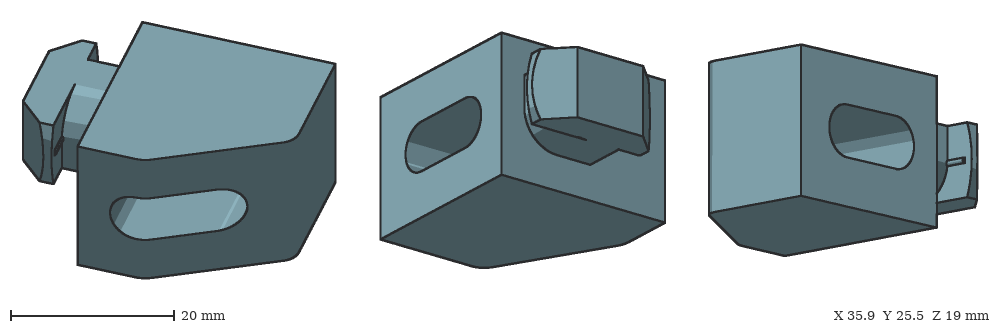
import cadquery as cq
import math


total_length = 35.9
block_side = 25.0
block_height = 19.0
block_left = total_length - block_side
block_back = 8.5
block_front = block_back - block_side

slope_angle = math.radians(30)
slope_start = 8.5
slope_rise = (block_side - slope_start) * math.tan(slope_angle)
front_round = 3.88
side_round = 2.5

slot_length = 15.58
slot_width = 6.65
slot_center_x = block_left + 12.0

head_span = 18.0
head_edge_radius = 15.2
head_thickness = 5.03
bolt_height = 9.4
neck_width = 10.05
neck_round = neck_width / 2

ridge_height = 0.2
ridge_base = 0.72
ridge_span = 15.8


def make_block():
    """Clamp body with one corner cut to a slope and both slope ends rounded."""
    block_right = total_length
    outline = [
        (block_left, block_back),
        (block_left, block_front),
        (block_left + slope_start, block_front),
        (block_right, block_front + slope_rise),
        (block_right, block_back),
    ]
    block = (
        cq.Workplane("XY")
        .workplane(offset=-block_height / 2)
        .polyline(outline)
        .close()
        .extrude(block_height)
    )
    slope_start_point = (block_left + slope_start, block_front, 0)
    slope_end_point = (block_right, block_front + slope_rise, 0)
    block = block.edges(cq.NearestToPointSelector(slope_start_point)).fillet(front_round)
    return block.edges(cq.NearestToPointSelector(slope_end_point)).fillet(side_round)


def make_slot():
    """Obround cutter running through the block along Y."""
    return (
        cq.Workplane("XZ", origin=(slot_center_x, block_back, 0))
        .slot2D(slot_length, slot_width)
        .extrude(block_side)
    )


def make_head():
    """T-head with 45 degree outer bevels and arched ends."""
    half_span = head_span / 2
    half_height = bolt_height / 2
    half_flat = neck_width / 2
    bevel = half_span - half_flat
    arch_drop = head_edge_radius - math.sqrt(head_edge_radius**2 - half_height**2)
    corner_y = half_span - arch_drop
    profile = (
        cq.Workplane("XY")
        .workplane(offset=-half_height)
        .moveTo(0, half_flat)
        .lineTo(bevel, half_span)
        .lineTo(head_thickness, half_span)
        .lineTo(head_thickness, -half_span)
        .lineTo(bevel, -half_span)
        .lineTo(0, -half_flat)
        .close()
        .extrude(bolt_height)
    )
    arched = (
        cq.Workplane("YZ")
        .moveTo(-corner_y, -half_height)
        .lineTo(corner_y, -half_height)
        .threePointArc((half_span, 0), (corner_y, half_height))
        .lineTo(-corner_y, half_height)
        .threePointArc((-half_span, 0), (-corner_y, -half_height))
        .close()
        .extrude(head_thickness)
    )
    return profile.intersect(arched)


def make_neck():
    """Neck with two opposite quarter-round corners, for turning in a groove."""
    half_width = neck_width / 2
    half_height = bolt_height / 2
    bend = neck_round * math.sqrt(0.5)
    arc_z = half_height - neck_round
    return (
        cq.Workplane("YZ")
        .moveTo(-half_width, -half_height)
        .lineTo(0, -half_height)
        .threePointArc((bend, -arc_z - bend), (half_width, -arc_z))
        .lineTo(half_width, half_height)
        .lineTo(0, half_height)
        .threePointArc((-bend, arc_z + bend), (-half_width, arc_z))
        .close()
        .extrude(block_left)
    )


def make_ridge():
    """Low ridge across the underside of the head, with beveled ends."""
    crest_span = ridge_span - 2 * ridge_height
    return (
        cq.Workplane("XY")
        .polyline([
            (head_thickness, -ridge_span / 2),
            (head_thickness + ridge_height, -crest_span / 2),
            (head_thickness + ridge_height, crest_span / 2),
            (head_thickness, ridge_span / 2),
        ])
        .close()
        .extrude(ridge_base / 2, both=True)
        .intersect(
            cq.Workplane("XZ")
            .moveTo(head_thickness, -ridge_base / 2)
            .threePointArc(
                (head_thickness + ridge_height, 0),
                (head_thickness, ridge_base / 2),
            )
            .close()
            .extrude(ridge_span / 2, both=True)
        )
    )


result = make_block().cut(make_slot()).union(make_head()).union(make_neck()).union(make_ridge())